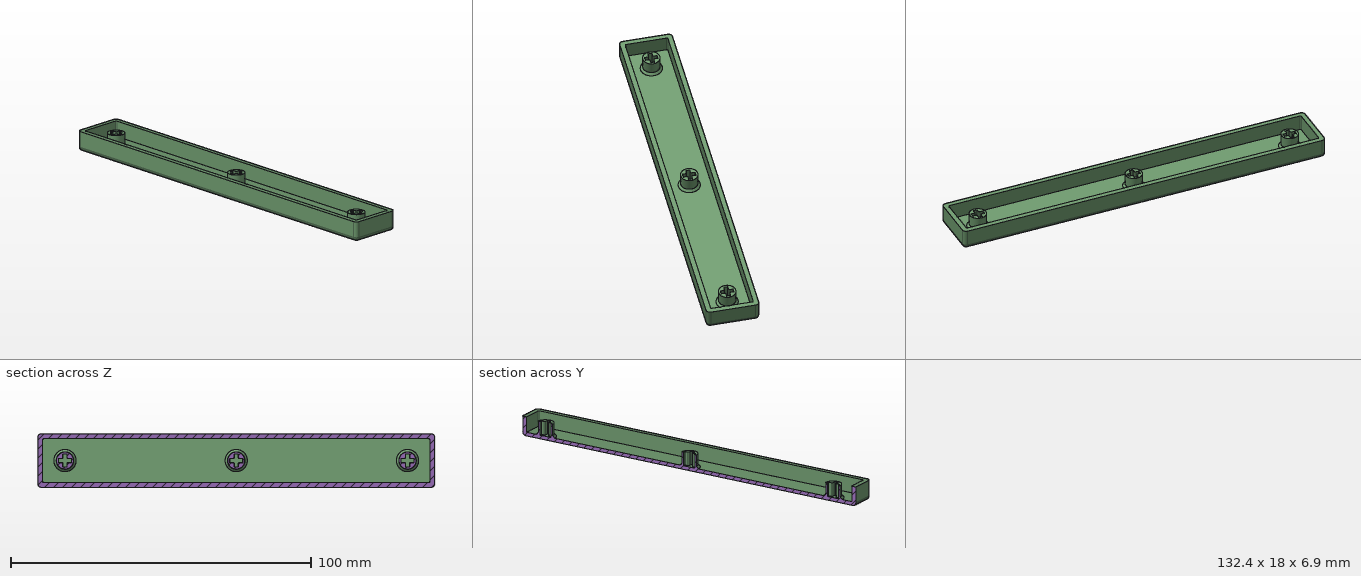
import cadquery as cq

length = 132.4
width = 18.0
height = 6.9
wall = 1.7
floor = 1.5
edge_radius = 1.3
inner_corner_radius = 0.4

post_diameter = 5.8
post_top = 6.2
post_spacing = 57.0
post_count = 3
post_flare_width = 0.8
post_flare_height = 0.8

cross_span = 4.2
cross_slot = 1.3
cross_corner_radius = 0.4


def make_tray():
    """Box with rounded corners and bottom edge, hollowed down to the floor."""
    body = (
        cq.Workplane("XY")
        .box(length, width, height, centered=(True, True, False))
        .edges("|Z")
        .fillet(edge_radius)
        .faces("<Z")
        .edges()
        .fillet(edge_radius)
    )
    cavity = (
        cq.Workplane("XY")
        .workplane(offset=floor)
        .box(length - 2 * wall, width - 2 * wall, height - floor, centered=(True, True, False))
        .edges("|Z")
        .fillet(inner_corner_radius)
    )
    return body.cut(cavity)


def make_post():
    """Round post, with a conical flare where it meets the floor, at the origin."""
    radius = post_diameter / 2
    flare_radius = radius + post_flare_width
    return (
        cq.Workplane("XZ")
        .lineTo(flare_radius, 0)
        .lineTo(flare_radius, floor)
        .lineTo(radius, floor + post_flare_height)
        .lineTo(radius, post_top)
        .lineTo(0, post_top)
        .close()
        .revolve(360, (0, 0, 0), (0, 1, 0))
    )


def make_socket():
    """Cross-shaped socket reaching from the post top down to the floor."""
    depth = post_top - floor
    base = cq.Workplane("XY").workplane(offset=floor)
    along_x = base.box(cross_span, cross_slot, depth, centered=(True, True, False))
    along_y = base.box(cross_slot, cross_span, depth, centered=(True, True, False))
    near_center = cq.selectors.BoxSelector(
        (-cross_slot, -cross_slot, 0),
        (cross_slot, cross_slot, height),
    )
    cross = along_x.union(along_y)
    return cross.edges("|Z").edges(near_center).fillet(cross_corner_radius)


post = make_post().cut(make_socket())
result = make_tray()
for index in range(post_count):
    x = (index - (post_count - 1) / 2) * post_spacing
    result = result.union(post.translate((x, 0, 0)))